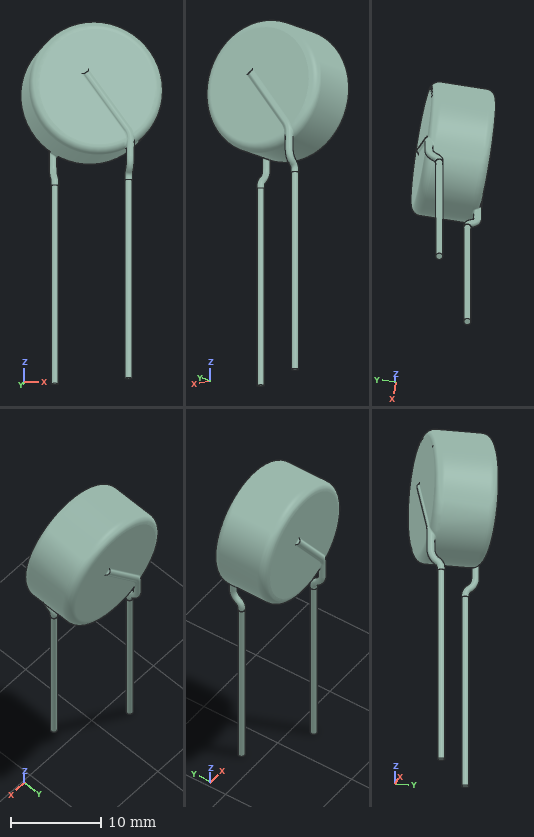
import cadquery as cq
import math

total_height = 40
overall_depth = 7.7

body_diameter = 15.0
body_thickness = 7.2
rim_radius = 1.0

coated_diameter = 0.9
lead_diameter = 0.8
lead_spacing_x = 7.5
lead_spacing_y = 4.5
lead_length = 22.35
sleeve_length = 0.25

lower_bend_radius = 1.0
upper_bend_radius = 1.6

knee_radius = 2
knee_bend_bottom = 26.7
leg_angle = 36.6
leg_length = 7.7
weld_fillet = 0.2
seam_margin = 0.05

body_center_z = total_height - body_diameter / 2
lead_x = lead_spacing_x / 2
lead_y = -lead_spacing_y / 2
wire_y = -(overall_depth - coated_diameter) / 2
bend_bottom = lead_length + sleeve_length


def make_body():
    body = (
        cq.Workplane("XZ", origin=(0, body_thickness / 2, body_center_z))
        .circle(body_diameter / 2)
        .extrude(body_thickness)
    )
    return body.faces("<Y or >Y").edges().fillet(rim_radius)


def arc_points(radius, angle):
    """Sideways and upward travel at half and full angle of an arc that starts upright."""
    return [(radius * (1 - math.cos(a)), radius * math.sin(a)) for a in (angle / 2, angle)]


def coated_path():
    """Centre line of the front wire, from the top of the bare lead to the end of the leg."""
    step_out = lead_y - wire_y
    step_angle = math.acos(1 - step_out / (lower_bend_radius + upper_bend_radius))
    bend_top = bend_bottom + (lower_bend_radius + upper_bend_radius) * math.sin(step_angle)
    lower_arc = [
        cq.Vector(lead_x, lead_y - out, bend_bottom + up)
        for out, up in arc_points(lower_bend_radius, step_angle)
    ]
    upper_middle, _ = arc_points(upper_bend_radius, step_angle)
    upper_arc_middle = cq.Vector(lead_x, wire_y + upper_middle[0], bend_top - upper_middle[1])

    slant = math.radians(leg_angle)
    knee_arc = [
        cq.Vector(lead_x - inward, wire_y, knee_bend_bottom + up)
        for inward, up in arc_points(knee_radius, slant)
    ]
    leg = cq.Vector(-math.sin(slant), 0, math.cos(slant)) * leg_length

    start = cq.Vector(lead_x, lead_y, lead_length)
    lower_bend_start = cq.Vector(lead_x, lead_y, bend_bottom)
    upper_bend_end = cq.Vector(lead_x, wire_y, bend_top)
    knee_start = cq.Vector(lead_x, wire_y, knee_bend_bottom)
    return cq.Wire.assembleEdges([
        cq.Edge.makeLine(start, lower_bend_start),
        cq.Edge.makeThreePointArc(lower_bend_start, *lower_arc),
        cq.Edge.makeThreePointArc(lower_arc[-1], upper_arc_middle, upper_bend_end),
        cq.Edge.makeLine(upper_bend_end, knee_start),
        cq.Edge.makeThreePointArc(knee_start, *knee_arc),
        cq.Edge.makeLine(knee_arc[-1], knee_arc[-1] + leg),
    ])


def make_coated_wire():
    return (
        cq.Workplane("XY", origin=(lead_x, lead_y, lead_length))
        .circle(coated_diameter / 2)
        .sweep(cq.Workplane(coated_path()))
    )


def make_lead():
    return (
        cq.Workplane("XY", origin=(lead_x, lead_y, 0))
        .circle(lead_diameter / 2)
        .extrude(lead_length)
    )


def opposite(front):
    """The second wire is the first one turned half a turn about Z."""
    return front.rotate((0, 0, 0), (0, 0, 1), 180)


def weld_box(side):
    """Box around the seam where a wire enters the body; side is -1 in front, 1 at the back."""
    half_width = lead_x + coated_diameter
    near = (-half_width, side * (body_thickness / 2 - rim_radius), total_height - body_diameter)
    far = (half_width, side * (body_thickness / 2 + seam_margin), total_height)
    return cq.selectors.BoxSelector(near, far, boundingbox=True)


wire = make_coated_wire()
lead = make_lead()
body_with_wires = make_body().union(wire).union(opposite(wire))
welds = body_with_wires.edges(weld_box(-1) + weld_box(1))
result = welds.fillet(weld_fillet).union(lead).union(opposite(lead))